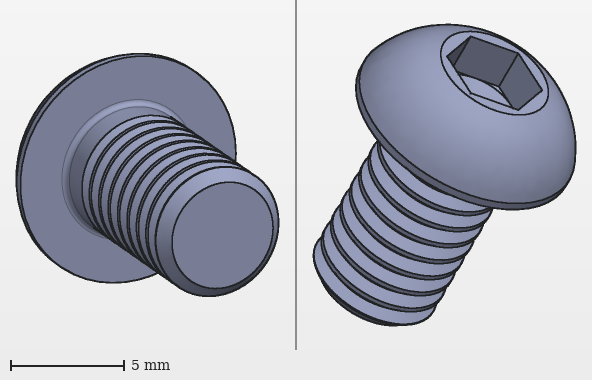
import cadquery as cq
import math

length = 13.3
head_radius = 10.5 / 2
head_height = 3.3
rim_width = 0.39
face_radius = 2.62
dome_bulge = 0.41

shank_radius = 2.99
neck_fillet = 0.25
groove_start = 4.91
groove_depth = 0.49
groove_half_width = 0.39
groove_pitch = 1.0
groove_count = 8
tip_chamfer_length = 0.56
tip_chamfer_depth = 0.53

socket_across_flats = 4.0
socket_depth = 2.07
socket_cone_angle = 120.0


def make_head():
    """Domed button head with a flat face and a narrow cylindrical rim."""
    rim_start = head_height - rim_width
    rise = head_radius - face_radius
    chord = math.hypot(rim_start, rise)
    dome_middle = (
        rim_start / 2 - dome_bulge * rise / chord,
        (face_radius + head_radius) / 2 + dome_bulge * rim_start / chord,
    )
    return (
        cq.Workplane("XY")
        .lineTo(0, face_radius)
        .threePointArc(dome_middle, (rim_start, head_radius))
        .lineTo(head_height, head_radius)
        .lineTo(head_height, 0)
        .close()
        .revolve(360, (0, 0, 0), (1, 0, 0))
    )


def make_shank():
    """Shank with a filleted neck, ring grooves and a chamfered tip."""
    fillet_centre = (head_height + neck_fillet, shank_radius + neck_fillet)
    fillet_offset = neck_fillet * math.sqrt(0.5)
    fillet_middle = (fillet_centre[0] - fillet_offset, fillet_centre[1] - fillet_offset)
    outline = (
        cq.Workplane("XY")
        .moveTo(head_height, 0)
        .lineTo(head_height, fillet_centre[1])
        .threePointArc(fillet_middle, (fillet_centre[0], shank_radius))
    )
    for index in range(groove_count):
        start = groove_start + index * groove_pitch
        outline = (
            outline.lineTo(start, shank_radius)
            .lineTo(start + groove_half_width, shank_radius - groove_depth)
            .lineTo(start + 2 * groove_half_width, shank_radius)
        )
    return (
        outline.lineTo(length - tip_chamfer_length, shank_radius)
        .lineTo(length, shank_radius - tip_chamfer_depth)
        .lineTo(length, 0)
        .close()
        .revolve(360, (0, 0, 0), (1, 0, 0))
    )


def make_socket():
    """Hexagonal prism, corners along Y, ending in a cone inscribed in the hexagon."""
    across_corners = socket_across_flats / math.cos(math.radians(30))
    cone_radius = socket_across_flats / 2
    cone_height = cone_radius / math.tan(math.radians(socket_cone_angle / 2))
    prism = cq.Workplane("YZ").polygon(6, across_corners).extrude(socket_depth)
    cone = (
        cq.Workplane("XY")
        .moveTo(socket_depth, 0)
        .lineTo(socket_depth, cone_radius)
        .lineTo(socket_depth + cone_height, 0)
        .close()
        .revolve(360, (0, 0, 0), (1, 0, 0))
    )
    return prism.union(cone)


result = make_head().union(make_shank()).cut(make_socket())